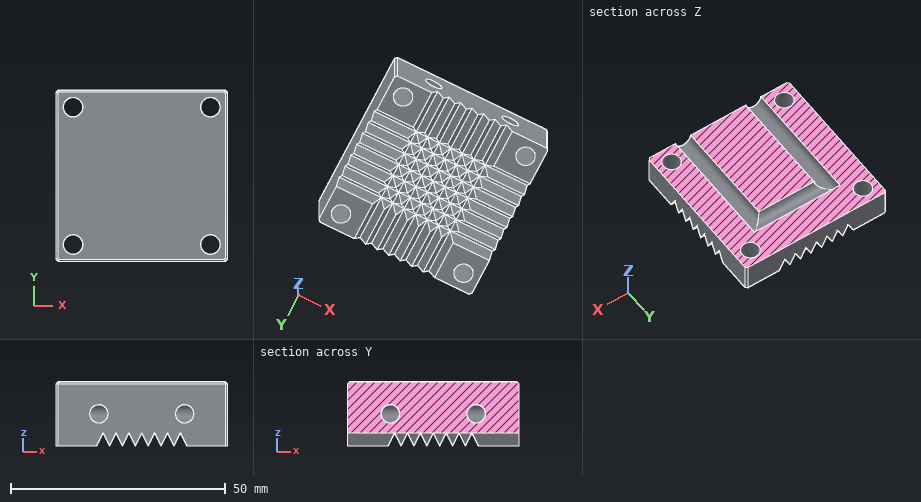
import cadquery as cq

side = 40.0
height = 15.0
chamfer = 0.5

corner_hole_diameter = 4.5
corner_hole_spacing = 32.0

passage_diameter = 4.25
passage_spacing = side / 2
passage_end_y = passage_spacing / 2

groove_count = 7
groove_pitch = 3.0
groove_depth = 3.0
cutter_overhang = 0.4


def make_block():
    block = cq.Workplane("XY").box(side, side, height, centered=(True, True, False))
    return block.edges("|Z").chamfer(chamfer).faces(">Z").edges().chamfer(chamfer)


def make_corner_holes():
    return (
        cq.Workplane("XY")
        .rect(corner_hole_spacing, corner_hole_spacing, forConstruction=True)
        .vertices()
        .circle(corner_hole_diameter / 2)
        .extrude(height)
    )


def make_passage():
    """Round U-shaped passage with mitred corners, open only at the -Y face."""
    leg_x = passage_spacing / 2
    path = cq.Workplane("XY", origin=(0, 0, height / 2)).polyline(
        [(-leg_x, -side / 2), (-leg_x, passage_end_y), (leg_x, passage_end_y), (leg_x, -side / 2)]
    )
    profile = cq.Workplane("XZ", origin=(-leg_x, -side / 2, height / 2)).circle(passage_diameter / 2)
    return profile.sweep(path, transition="right")


def make_groove_cutter():
    """Sawtooth prism along Y whose teeth meet in sharp edges on the underside."""
    half_width = groove_count * groove_pitch / 2
    points = [(-half_width, -cutter_overhang), (-half_width, 0)]
    for i in range(groove_count):
        groove_start = -half_width + i * groove_pitch
        points.append((groove_start + groove_pitch / 2, groove_depth))
        points.append((groove_start + groove_pitch, 0))
    points.append((half_width, -cutter_overhang))
    return cq.Workplane("XZ").polyline(points).close().extrude(side / 2 + cutter_overhang, both=True)


result = make_block().cut(make_corner_holes()).cut(make_passage())

groove_cutter = make_groove_cutter()
for angle in (0, 90):
    result = result.cut(groove_cutter.rotate((0, 0, 0), (0, 0, 1), angle))